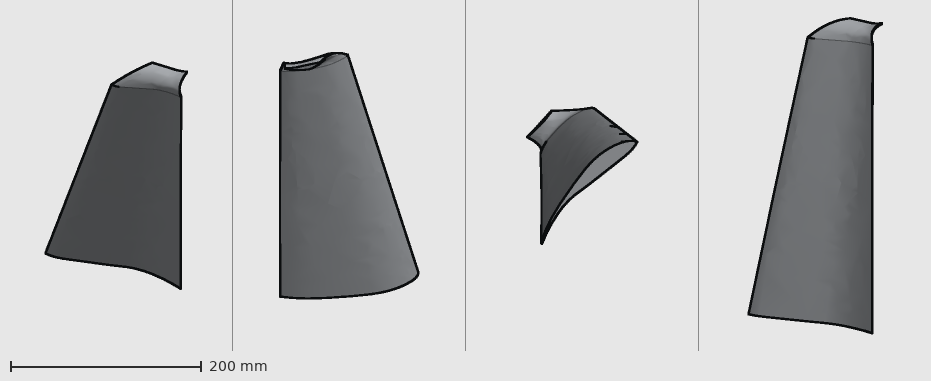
import cadquery as cq
import math

span = 332.5
root_chord = 150.0
depth = 27.5

joint_height = 312.5
joint_chord = 75.0

panel_bow = 1.0

bend_chord = 57.2
bend_trailing_gap = 2.5
bend_y = 9.0
bend_height = 325.3
end_chord = 38.5
end_bend_angle = 90.0

upper_stations = [1.0, 0.85, 0.69, 0.5, 0.28, 0.1, 0.02]
lower_stations = [0.02, 0.2, 0.43, 0.64, 0.82, 1.0]

root_upper = [8.0, 16.5, 22.0, 26.0, 27.3, 20.0, 11.3]
root_nose = 6.3
root_lower = [5.5, 7.0, 12.3, 17.3, 14.5, 6.5]

joint_upper = [9.0, 12.5, 13.5, 13.5, 11.3, 6.3, 2.5]
joint_nose = 0.5
joint_lower = [0.3, 1.5, 6.3, 9.5, 10.0, 7.5]

bend_upper = [3.3, 6.3, 7.5, 8.3, 7.5, 4.5, 2.3]
bend_nose = 0.3
bend_lower = [0.0, 0.5, 2.5, 4.0, 4.0, 2.0]

end_upper = [1.3, 4.0, 5.5, 7.0, 7.3, 4.3, 2.3]
end_nose = 0.3
end_lower = [0.3, 0.5, 1.3, 2.0, 1.5, 0.0]


def section(chord, upper, nose, lower, y=0.0, z=0.0, angle=0.0, trailing_gap=0.0):
    """Airfoil wire with its trailing edge toward +X, tilted by angle about X."""
    tilt = math.radians(angle)
    leading_x = root_chord - trailing_gap - chord
    stations = upper_stations + [0.0] + lower_stations
    offsets = upper + [nose] + lower
    points = [
        cq.Vector(leading_x + chord * station, y + offset * math.cos(tilt), z - offset * math.sin(tilt))
        for station, offset in zip(stations, offsets)
    ]
    nose_index = len(upper)
    upper_skin = cq.Edge.makeSpline(points[:nose_index + 1])
    lower_skin = cq.Edge.makeSpline(points[nose_index:])
    trailing_edge = cq.Edge.makeLine(points[-1], points[0])
    return cq.Wire.assembleEdges([upper_skin, lower_skin, trailing_edge])


def halfway(first, second):
    """Offsets midway between those of two sections."""
    return [(a + b) / 2 for a, b in zip(first, second)]


root = section(root_chord, root_upper, root_nose, root_lower)
middle = section(
    (root_chord + joint_chord) / 2,
    halfway(root_upper, joint_upper),
    (root_nose + joint_nose) / 2,
    halfway(root_lower, joint_lower),
    y=-panel_bow,
    z=joint_height / 2,
)
joint = section(joint_chord, joint_upper, joint_nose, joint_lower, z=joint_height)
bend = section(
    bend_chord, bend_upper, bend_nose, bend_lower,
    bend_y, bend_height, end_bend_angle / 2, bend_trailing_gap,
)
end = section(end_chord, end_upper, end_nose, end_lower, depth, span, end_bend_angle)

panel = cq.Solid.makeLoft([root, middle, joint], False)
winglet = cq.Solid.makeLoft([joint, bend, end], False)
result = cq.Workplane(panel).union(cq.Workplane(winglet))